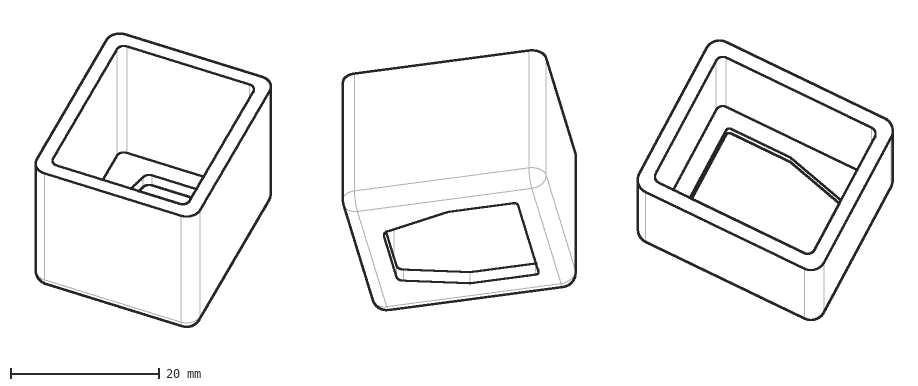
import cadquery as cq

length_x = 24.0
length_y = 28.0
height = 23.0
outer_radius = 2.0

wall = 2.0
floor = 2.0
cavity_radius = 1.0

window_width = 15.0
window_top_width = 10.0
window_length = 19.0
window_lower_radius = 0.5
window_upper_radius = 1.0


def make_body():
    """Block with rounded upright corners and a rounded bottom edge."""
    block = cq.Workplane("XY").box(length_x, length_y, height, centered=(True, True, False))
    return block.edges("|Z or <Z").fillet(outer_radius)


def make_cavity():
    """Straight-walled pocket above the floor."""
    pocket = cq.Workplane("XY").workplane(offset=floor).rect(length_x - 2 * wall, length_y - 2 * wall)
    return pocket.extrude(height - floor).edges("|Z").fillet(cavity_radius)


def make_window():
    """Prism for the six-sided opening in the floor."""
    half_width = window_width / 2
    half_top = window_top_width / 2
    half_length = window_length / 2
    outline = [
        (-half_width, -half_length),
        (half_width, -half_length),
        (half_width, 0),
        (half_top, half_length),
        (-half_top, half_length),
        (-half_width, 0),
    ]
    prism = cq.Workplane("XY").polyline(outline).close().extrude(floor)
    prism = prism.edges("|Z and <Y").fillet(window_lower_radius)
    return prism.edges("|Z and >Y").fillet(window_upper_radius)


result = make_body().cut(make_cavity()).cut(make_window())